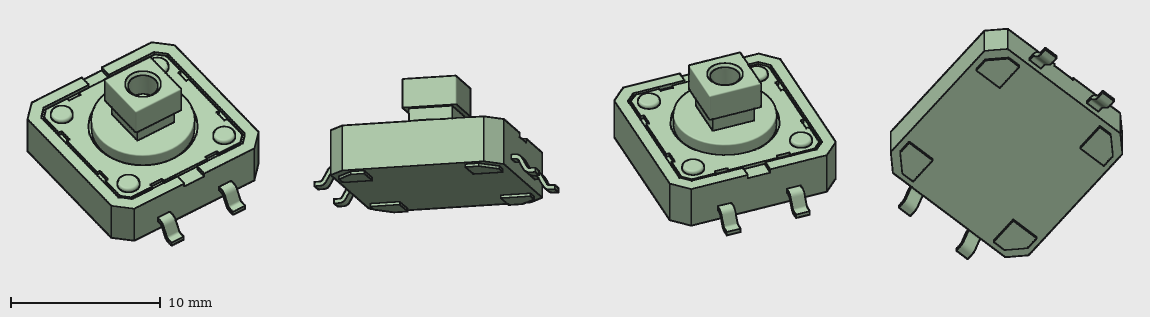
import cadquery as cq
import math

BODY_BOTTOM = 0.2
BODY_TOP = 3.3
DISC_TOP = 4.0
CAP_BOTTOM = 5.3
CAP_TOP = 7.3

BODY_SIDE = 12.0
BODY_CHAMFER = 1.1
RECESS_SIDE = 10.32
RECESS_CHAMFER = 0.64
RECESS_DEPTH = 0.28
RECESS_FLOOR = BODY_TOP - RECESS_DEPTH
SIDE_SLOT_WIDTH = 1.62

PLATE_GAP = 0.18
PLATE_SIDE = RECESS_SIDE - 2 * PLATE_GAP
PLATE_CHAMFER = RECESS_CHAMFER - PLATE_GAP * (2 - math.sqrt(2))
PLATE_THICKNESS = 0.25
PLATE_TOP = RECESS_FLOOR + PLATE_THICKNESS
PLATE_HOLE_DIAMETER = 7.3
NOTCH_WIDTH = 0.93
NOTCH_DEPTH = 0.23
NOTCH_OFFSET = 2.24

RIVET_DIAMETER = 1.5
RIVET_HEIGHT = 0.28
RIVET_TOP = PLATE_TOP + RIVET_HEIGHT
RIVET_ROUNDING = 0.2
RIVET_OFFSET = 3.9

DISC_DIAMETER = 6.9
DISC_ROUNDING = 0.1
NECK_SIDE = 3.0
CAP_SIDE = 3.75
CAP_ROUNDING = 0.1
CAP_HOLE_DIAMETER = 2.0
CAP_HOLE_DEPTH = CAP_TOP - CAP_BOTTOM
CAP_HOLE_CHAMFER = 0.2

FOOT_OUTER = 5.55
FOOT_SIDE = 2.05
FOOT_CHAMFER = 1.1

LEAD_SPAN = 15.3
LEAD_WIDTH = 1.0
LEAD_OFFSET = 2.5
LEAD_THICKNESS = 0.3
LEAD_TOP = 1.3
LEAD_SLOPE = math.radians(60)
LEAD_SLOPE_CENTER = 6.78
LEAD_INNER_RADIUS = 0.2
LEAD_OUTER_RADIUS = LEAD_INNER_RADIUS + LEAD_THICKNESS
LEAD_EMBED = 0.3

SIGNS = (-1, 1)


def square_block(side, bottom, top):
    """Centred square block between two heights."""
    return cq.Workplane("XY").workplane(offset=bottom).rect(side, side).extrude(top - bottom)


def chamfered_block(side, corner, bottom, top):
    """Centred square block with its four upright edges chamfered."""
    return square_block(side, bottom, top).edges("|Z").chamfer(corner)


def cylinder(diameter, bottom, top):
    """Upright cylinder on the Z axis between two heights."""
    return cq.Workplane("XY").workplane(offset=bottom).circle(diameter / 2).extrude(top - bottom)


def make_housing():
    housing = chamfered_block(BODY_SIDE, BODY_CHAMFER, BODY_BOTTOM, BODY_TOP)
    recess = chamfered_block(RECESS_SIDE, RECESS_CHAMFER, RECESS_FLOOR, BODY_TOP)
    side_slots = (
        cq.Workplane("XY")
        .workplane(offset=RECESS_FLOOR)
        .rect(BODY_SIDE, SIDE_SLOT_WIDTH)
        .extrude(RECESS_DEPTH)
    )
    return housing.cut(recess).cut(side_slots)


def make_plate():
    plate = chamfered_block(PLATE_SIDE, PLATE_CHAMFER, RECESS_FLOOR, PLATE_TOP)
    plate = plate.cut(cylinder(PLATE_HOLE_DIAMETER, RECESS_FLOOR, PLATE_TOP))
    notch_pair = (
        cq.Workplane("XY")
        .workplane(offset=RECESS_FLOOR)
        .pushPoints([(sign * NOTCH_OFFSET, PLATE_SIDE / 2) for sign in SIGNS])
        .rect(NOTCH_WIDTH, 2 * NOTCH_DEPTH)
        .extrude(PLATE_THICKNESS)
    )
    for notches in quarter_turns(notch_pair):
        plate = plate.cut(notches)
    return plate


def make_rivet():
    """Rivet head at the +X +Y corner, rounded on its top edge."""
    rivet = cylinder(RIVET_DIAMETER, RECESS_FLOOR, RIVET_TOP)
    return rivet.faces(">Z").edges().fillet(RIVET_ROUNDING).translate((RIVET_OFFSET, RIVET_OFFSET, 0))


def make_plunger():
    disc = cylinder(DISC_DIAMETER, RECESS_FLOOR, DISC_TOP)
    disc = disc.faces(">Z").edges().fillet(DISC_ROUNDING)
    neck = square_block(NECK_SIDE, DISC_TOP, CAP_BOTTOM)
    cap = square_block(CAP_SIDE, CAP_BOTTOM, CAP_TOP)
    cap = cap.edges("|Z or >Z").fillet(CAP_ROUNDING)
    cap = cap.cut(cylinder(CAP_HOLE_DIAMETER, CAP_TOP - CAP_HOLE_DEPTH, CAP_TOP))
    cap = cap.faces(">Z").edges("%CIRCLE").chamfer(CAP_HOLE_CHAMFER)
    return disc.union(neck).union(cap)


def make_foot():
    """Foot under the +X +Y corner, chamfered on its outer corner."""
    center = FOOT_OUTER - FOOT_SIDE / 2
    return (
        cq.Workplane("XY")
        .center(center, center)
        .rect(FOOT_SIDE, FOOT_SIDE)
        .extrude(BODY_BOTTOM)
        .edges("|Z and >(1,1,0)")
        .chamfer(FOOT_CHAMFER)
    )


def make_lead():
    """Gull-wing lead on the +X side, centred on y = 0."""
    inner_top = LEAD_TOP - LEAD_THICKNESS
    slope_half_run = inner_top / math.tan(LEAD_SLOPE) / 2
    corner_shift = LEAD_THICKNESS / 2 * math.tan(LEAD_SLOPE / 2)
    upper_bend = LEAD_SLOPE_CENTER - slope_half_run
    lower_bend = LEAD_SLOPE_CENTER + slope_half_run
    root = BODY_SIDE / 2 - LEAD_EMBED
    tip = LEAD_SPAN / 2
    strip = (
        cq.Workplane("XZ")
        .moveTo(root, LEAD_TOP)
        .lineTo(upper_bend + corner_shift, LEAD_TOP)
        .lineTo(lower_bend + corner_shift, LEAD_THICKNESS)
        .lineTo(tip, LEAD_THICKNESS)
        .lineTo(tip, 0)
        .lineTo(lower_bend - corner_shift, 0)
        .lineTo(upper_bend - corner_shift, inner_top)
        .lineTo(root, inner_top)
        .close()
        .extrude(LEAD_WIDTH / 2, both=True)
    )

    def bend_edge(x, z):
        return cq.selectors.NearestToPointSelector((x, 0, z))

    strip = strip.edges(bend_edge(upper_bend + corner_shift, LEAD_TOP)).fillet(LEAD_OUTER_RADIUS)
    strip = strip.edges(bend_edge(lower_bend - corner_shift, 0)).fillet(LEAD_OUTER_RADIUS)
    strip = strip.edges(bend_edge(lower_bend + corner_shift, LEAD_THICKNESS)).fillet(LEAD_INNER_RADIUS)
    return strip.edges(bend_edge(upper_bend - corner_shift, inner_top)).fillet(LEAD_INNER_RADIUS)


def quarter_turns(feature):
    """The feature repeated every quarter turn about the Z axis."""
    return [feature.rotate((0, 0, 0), (0, 0, 1), 90 * quarter) for quarter in range(4)]


def four_leads():
    """Two leads on the +X side and two on the -X side."""
    right_lead = make_lead()
    left_lead = right_lead.mirror("YZ")
    leads = []
    for lead in (left_lead, right_lead):
        for sign in SIGNS:
            leads.append(lead.translate((0, sign * LEAD_OFFSET, 0)))
    return leads


result = make_housing().union(make_plate()).union(make_plunger())
for piece in quarter_turns(make_rivet()) + quarter_turns(make_foot()) + four_leads():
    result = result.union(piece)